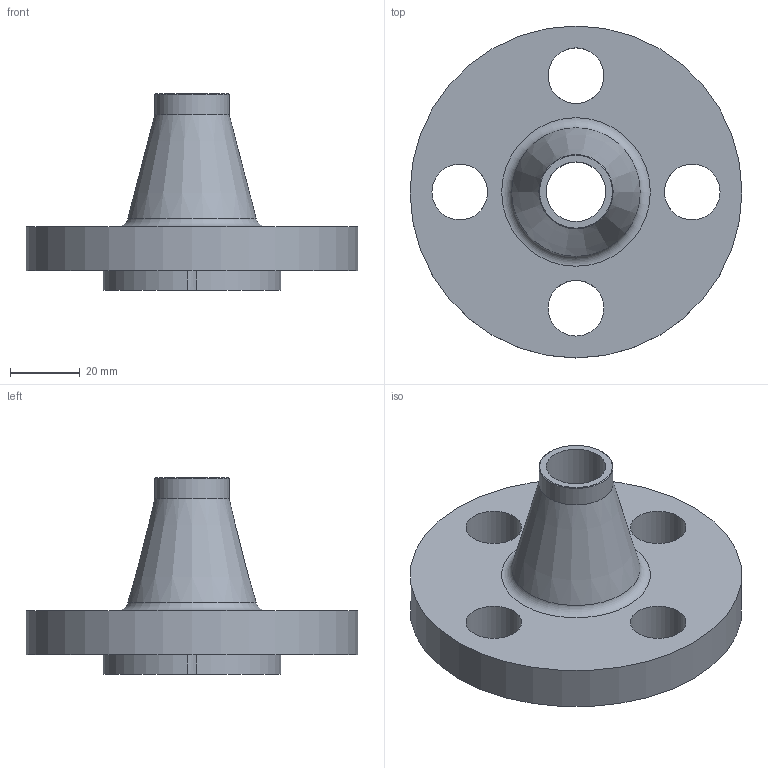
import cadquery as cq
import math

total_height = 56.36

flange_diameter = 95.25
flange_thickness = 12.7

boss_diameter = 51.0
boss_height = 5.56

hub_base_diameter = 38.0
hub_fillet_radius = 3.0
neck_diameter = 21.3
neck_length = 6.0
neck_chamfer = 0.2
bore_diameter = 17.1

bolt_hole_count = 4
bolt_hole_diameter = 16.0
bolt_circle_diameter = 66.7

flange_bottom = boss_height
flange_top = flange_bottom + flange_thickness
neck_bottom = total_height - neck_length


def hub_fillet_points():
    """Start, middle and end (radius, height) of the arc blending the flange face into the hub taper."""
    hub_base_radius = hub_base_diameter / 2
    taper = math.atan2(hub_base_radius - neck_diameter / 2, neck_bottom - flange_top)
    sweep = math.pi / 2 - taper
    tangent_length = hub_fillet_radius * math.tan(sweep / 2)
    center_radius = hub_base_radius + tangent_length
    center_height = flange_top + hub_fillet_radius

    def arc_point(turn):
        return (
            center_radius - hub_fillet_radius * math.sin(turn),
            center_height - hub_fillet_radius * math.cos(turn),
        )

    return arc_point(0), arc_point(sweep / 2), arc_point(sweep)


def make_body():
    """Revolve the solid half profile, (radius, height), about the Z axis."""
    boss_radius = boss_diameter / 2
    flange_radius = flange_diameter / 2
    neck_radius = neck_diameter / 2
    fillet_start, fillet_middle, fillet_end = hub_fillet_points()
    profile = (
        cq.Workplane("XZ")
        .moveTo(0, 0)
        .lineTo(boss_radius, 0)
        .lineTo(boss_radius, flange_bottom)
        .lineTo(flange_radius, flange_bottom)
        .lineTo(flange_radius, flange_top)
        .lineTo(*fillet_start)
        .threePointArc(fillet_middle, fillet_end)
        .lineTo(neck_radius, neck_bottom)
        .lineTo(neck_radius, total_height - neck_chamfer)
        .lineTo(neck_radius - neck_chamfer, total_height)
        .lineTo(0, total_height)
        .close()
    )
    return profile.revolve(360, (0, 0, 0), (0, 1, 0))


def make_bore():
    """Straight bore through the full height."""
    return cq.Workplane("XY").circle(bore_diameter / 2).extrude(total_height)


def make_bolt_holes():
    """Bolt hole cutters on the X and Y axes; each one also grazes the rim of the boss."""
    return (
        cq.Workplane("XY")
        .polarArray(bolt_circle_diameter / 2, 0, 360, bolt_hole_count)
        .circle(bolt_hole_diameter / 2)
        .extrude(flange_top)
    )


result = make_body().cut(make_bore()).cut(make_bolt_holes())